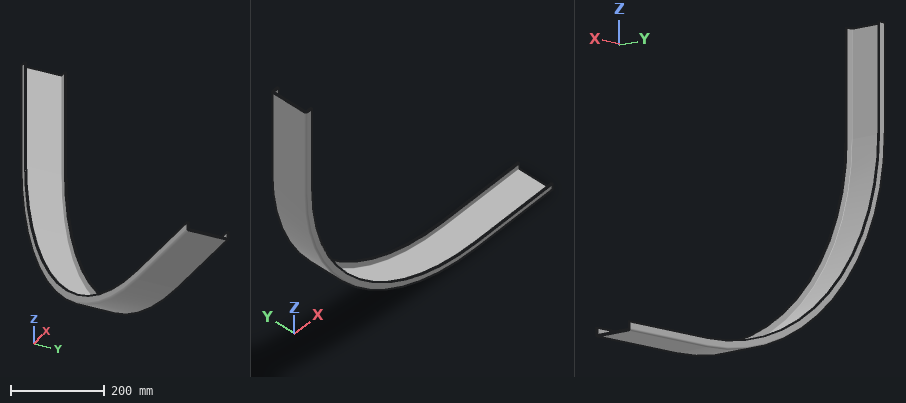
import cadquery as cq

overall_size = 792.0
channel_width = 100.0
flange_height = 20.0
wall = 3.8
corner_radius = 5.0
straight_length = 242.0

bend_radius = overall_size - straight_length
half_width = channel_width / 2


def channel_profile(plane):
    """U section with its web on the plane's local X axis and flanges along local Y."""
    inner_half_width = half_width - wall
    flat_half_width = half_width - corner_radius
    inner_radius = corner_radius - wall
    return (
        cq.Workplane(plane)
        .moveTo(-half_width, flange_height)
        .lineTo(-half_width, corner_radius)
        .radiusArc((-flat_half_width, 0), -corner_radius)
        .lineTo(flat_half_width, 0)
        .radiusArc((half_width, corner_radius), -corner_radius)
        .lineTo(half_width, flange_height)
        .lineTo(inner_half_width, flange_height)
        .lineTo(inner_half_width, corner_radius)
        .radiusArc((flat_half_width, wall), inner_radius)
        .lineTo(-flat_half_width, wall)
        .radiusArc((-inner_half_width, corner_radius), inner_radius)
        .lineTo(-inner_half_width, flange_height)
        .close()
    )


start_of_horizontal = cq.Plane(origin=(bend_radius, 0, 0), xDir=(0, 1, 0), normal=(1, 0, 0))
horizontal_leg = channel_profile(start_of_horizontal).extrude(straight_length)

start_of_vertical = cq.Plane(origin=(0, 0, bend_radius), xDir=(0, -1, 0), normal=(0, 0, 1))
vertical_leg = channel_profile(start_of_vertical).extrude(straight_length)

bend = channel_profile(start_of_horizontal).revolve(
    90, (-half_width, bend_radius, 0), (half_width, bend_radius, 0)
)

result = horizontal_leg.union(bend).union(vertical_leg)